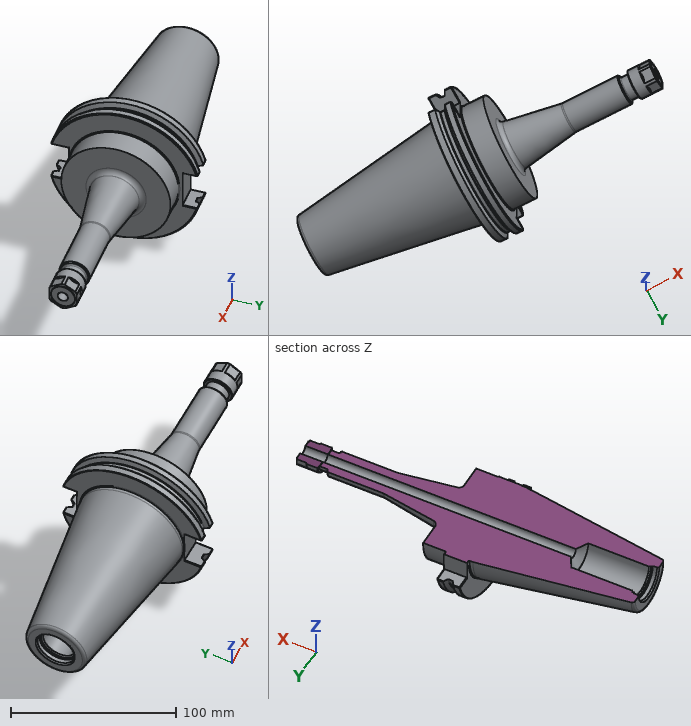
import cadquery as cq
import math

TOTAL_LENGTH = 236.8
THROUGH_BORE_DIAMETER = 6.6
EDGE_TOLERANCE = 0.12

COLLAR_START_X = 102.3
COLLAR_DIAMETER = 70.0
TAPER_RATIO = 7 / 24
SMALL_END_DIAMETER = COLLAR_DIAMETER - COLLAR_START_X * TAPER_RATIO
SMALL_END_FILLET = 2.1

SOCKET_DIAMETER = 22.0
SOCKET_DEPTH = 47.4
SOCKET_POINT_ANGLE = 120.0
COUNTERBORE_DIAMETER = 25.0
COUNTERBORE_DEPTH = 4.0
RECESS_DIAMETER = 24.0
RECESS_END_DEPTH = 5.0
LEAD_IN_DEPTH = (RECESS_DIAMETER - SOCKET_DIAMETER) / 2
MOUTH_DIAMETER = 26.5
MOUTH_DEPTH = 1.2

FLANGE_START_X = 105.0
FLANGE_END_X = 120.8
FLANGE_DIAMETER = 97.5
FLANGE_CHAMFER = 0.7
FLANGE_ROOT_FILLET = 0.6
FACE_EDGE_CHAMFER = 0.35
GROOVE_FLOOR_DIAMETER = 91.2
GROOVE_FLOOR_WIDTH = 3.0
GROOVE_CENTRE_X = 113.0
GROOVE_WALL_ANGLE = 30.0
GROOVE_FILLET = 0.5
GROOVE_DEPTH = (FLANGE_DIAMETER - GROOVE_FLOOR_DIAMETER) / 2

SLOT_WIDTH = 25.5
SLOT_EDGE_CHAMFER = 0.5
FRONT_SLOT_FLOOR = 35.3
BACK_SLOT_FLOOR = 37.5

BODY_DIAMETER = 69.8
BODY_END_X = 136.4
CONE_BASE_DIAMETER = 32.5
CONE_FILLET = 3.5
CONE_END_X = 176.6
CONE_END_FILLET = 6.0
SHANK_DIAMETER = 19.5
SHANK_END_X = 215.5
SHANK_CHAMFER = 0.7
NECK_DIAMETER = 15.5
NECK_FILLET = 0.7

NUT_START_X = 221.4
NUT_CHAMFER = 0.5
NUT_DIAMETER = SHANK_DIAMETER
NUT_END_X = 236.3
NUT_TIP_DIAMETER = 15.5
HEX_START_X = 229.0
HEX_SIDES = 6
HEX_ACROSS_FLATS = 17.8


def revolve_about_x(outline):
    """Turn a closed (X, radius) outline around the X axis."""
    return outline.close().revolve(360, (0, 0, 0), (1, 0, 0))


def x_cylinder(diameter, start_x, end_x):
    """Solid cylinder on the X axis."""
    return cq.Workplane("YZ").workplane(offset=start_x).circle(diameter / 2).extrude(end_x - start_x)


def circle_at(x, diameter):
    """Selector for the circular edge of this diameter at this X."""
    def box(half_size):
        return cq.selectors.BoxSelector(
            (x - EDGE_TOLERANCE, -half_size, -half_size),
            (x + EDGE_TOLERANCE, half_size, half_size),
            boundingbox=True,
        )

    return box(diameter / 2 + EDGE_TOLERANCE) - box(diameter / 2 - EDGE_TOLERANCE)


def turned_holder():
    """Taper, flange blank, body, cone, shank and neck as one turned piece."""
    flange_radius = FLANGE_DIAMETER / 2
    shank_radius = SHANK_DIAMETER / 2
    outline = (
        cq.Workplane("XY")
        .moveTo(0, 0)
        .lineTo(0, SMALL_END_DIAMETER / 2)
        .lineTo(COLLAR_START_X, COLLAR_DIAMETER / 2)
        .lineTo(FLANGE_START_X, COLLAR_DIAMETER / 2)
        .lineTo(FLANGE_START_X, flange_radius - FACE_EDGE_CHAMFER)
        .lineTo(FLANGE_START_X + FACE_EDGE_CHAMFER, flange_radius)
        .lineTo(FLANGE_END_X - FLANGE_CHAMFER, flange_radius)
        .lineTo(FLANGE_END_X, flange_radius - FLANGE_CHAMFER)
        .lineTo(FLANGE_END_X, BODY_DIAMETER / 2)
        .lineTo(BODY_END_X, BODY_DIAMETER / 2)
        .lineTo(BODY_END_X, CONE_BASE_DIAMETER / 2)
        .lineTo(CONE_END_X, shank_radius)
        .lineTo(SHANK_END_X - SHANK_CHAMFER, shank_radius)
        .lineTo(SHANK_END_X, shank_radius - SHANK_CHAMFER)
        .lineTo(SHANK_END_X, NECK_DIAMETER / 2)
        .lineTo(NUT_START_X, NECK_DIAMETER / 2)
        .lineTo(NUT_START_X, 0)
    )
    fillets = [
        (0, SMALL_END_DIAMETER, SMALL_END_FILLET),
        (FLANGE_START_X, COLLAR_DIAMETER, FLANGE_ROOT_FILLET),
        (FLANGE_END_X, BODY_DIAMETER, FLANGE_ROOT_FILLET),
        (BODY_END_X, CONE_BASE_DIAMETER, CONE_FILLET),
        (CONE_END_X, SHANK_DIAMETER, CONE_END_FILLET),
        (SHANK_END_X, NECK_DIAMETER, NECK_FILLET),
    ]
    holder = revolve_about_x(outline)
    for x, diameter, fillet_radius in fillets:
        holder = holder.edges(circle_at(x, diameter)).fillet(fillet_radius)
    return holder


def drawbar_socket():
    """Stepped socket that narrows from its chamfered mouth to a drill point."""
    socket_radius = SOCKET_DIAMETER / 2
    point_depth = socket_radius / math.tan(math.radians(SOCKET_POINT_ANGLE / 2))
    outline = (
        cq.Workplane("XY")
        .moveTo(0, 0)
        .lineTo(0, MOUTH_DIAMETER / 2)
        .lineTo(MOUTH_DEPTH, COUNTERBORE_DIAMETER / 2)
        .lineTo(COUNTERBORE_DEPTH, COUNTERBORE_DIAMETER / 2)
        .lineTo(COUNTERBORE_DEPTH, RECESS_DIAMETER / 2)
        .lineTo(RECESS_END_DEPTH, RECESS_DIAMETER / 2)
        .lineTo(RECESS_END_DEPTH + LEAD_IN_DEPTH, socket_radius)
        .lineTo(SOCKET_DEPTH, socket_radius)
        .lineTo(SOCKET_DEPTH + point_depth, 0)
    )
    return revolve_about_x(outline)


def gripper_groove():
    """V groove with a flat floor and rounded floor corners, as a ring to cut from the flange."""
    half_floor = GROOVE_FLOOR_WIDTH / 2
    half_mouth = half_floor + GROOVE_DEPTH * math.tan(math.radians(GROOVE_WALL_ANGLE))
    outline = (
        cq.Workplane("XY")
        .moveTo(GROOVE_CENTRE_X - half_mouth, FLANGE_DIAMETER / 2)
        .lineTo(GROOVE_CENTRE_X - half_floor, GROOVE_FLOOR_DIAMETER / 2)
        .lineTo(GROOVE_CENTRE_X + half_floor, GROOVE_FLOOR_DIAMETER / 2)
        .lineTo(GROOVE_CENTRE_X + half_mouth, FLANGE_DIAMETER / 2)
    )
    groove = revolve_about_x(outline)
    for side in (-1, 1):
        floor_edge = circle_at(GROOVE_CENTRE_X + side * half_floor, GROOVE_FLOOR_DIAMETER)
        groove = groove.edges(floor_edge).fillet(GROOVE_FILLET)
    return groove


def drive_slot(floor, side):
    """Block to cut through the flange, from the slot floor outward; side is -1 or +1 along Y."""
    depth = FLANGE_DIAMETER / 2 - floor
    centre_y = side * (floor + depth / 2)
    width = FLANGE_END_X - FLANGE_START_X
    return cq.Workplane("XY").box(width, depth, SLOT_WIDTH).translate(
        ((FLANGE_START_X + FLANGE_END_X) / 2, centre_y, 0)
    )


def slot_wall_rims(holder):
    """Edges around the slot side walls, without the inside corners along the slot floors."""
    half_slot = SLOT_WIDTH / 2
    rims = []
    for edge in holder.faces("|Z").edges().vals():
        centre = edge.Center()
        on_wall = abs(abs(centre.z) - half_slot) < EDGE_TOLERANCE
        on_front_floor = abs(centre.y + FRONT_SLOT_FLOOR) < EDGE_TOLERANCE
        on_back_floor = abs(centre.y - BACK_SLOT_FLOOR) < EDGE_TOLERANCE
        if on_wall and not on_front_floor and not on_back_floor:
            rims.append(edge)
    return rims


def make_holder():
    """Turned tool holder with its drive slots, gripper groove and bores."""
    holder = turned_holder()
    for floor, side in ((FRONT_SLOT_FLOOR, -1), (BACK_SLOT_FLOOR, 1)):
        holder = holder.cut(drive_slot(floor, side))
    holder = holder.newObject(slot_wall_rims(holder)).chamfer(SLOT_EDGE_CHAMFER)
    holder = holder.cut(gripper_groove()).cut(drawbar_socket())
    return holder.cut(x_cylinder(THROUGH_BORE_DIAMETER, 0, TOTAL_LENGTH))


def hex_waste():
    """Material outside the wrench flats, run out at 45 degrees toward the round collar."""
    nut_radius = NUT_DIAMETER / 2
    ring = revolve_about_x(
        cq.Workplane("XY")
        .moveTo(HEX_START_X, nut_radius)
        .lineTo(NUT_END_X, nut_radius)
        .lineTo(NUT_END_X, 0)
        .lineTo(HEX_START_X + nut_radius, 0)
    )
    hexagon = (
        cq.Workplane("YZ")
        .workplane(offset=HEX_START_X)
        .polygon(HEX_SIDES, HEX_ACROSS_FLATS / math.cos(math.pi / HEX_SIDES))
        .extrude(NUT_END_X - HEX_START_X)
        .rotate((0, 0, 0), (1, 0, 0), 180 / HEX_SIDES)
    )
    return ring.cut(hexagon)


def make_nut():
    """Clamping nut: chamfered round collar, truncated hexagon and a short round tip."""
    nut = x_cylinder(NUT_DIAMETER, NUT_START_X, NUT_END_X).faces("<X").chamfer(NUT_CHAMFER)
    tip = x_cylinder(NUT_TIP_DIAMETER, NUT_END_X, TOTAL_LENGTH)
    return nut.cut(hex_waste()).union(tip).cut(x_cylinder(THROUGH_BORE_DIAMETER, 0, TOTAL_LENGTH))


holder = make_holder()
nut = make_nut()
result = cq.Compound.makeCompound([holder.solids().val(), nut.solids().val()])